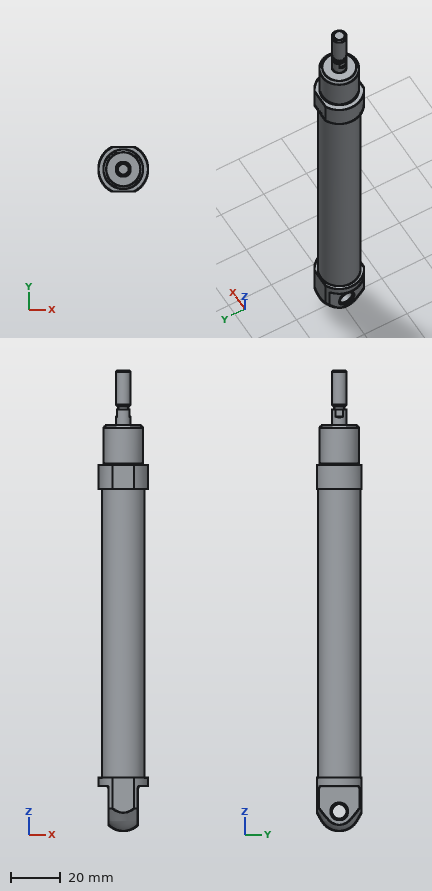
import cadquery as cq
import math

TOTAL_LENGTH = 186.0
TUBE_BOTTOM = 21.5
COLLAR_BOTTOM = 138.0
COLLAR_TOP = 147.9
NOSE_TOP = 163.9

TUBE_DIAMETER = 17.3
CAP_DIAMETER = 20.0
CAP_ACROSS_FLATS = 18.0
NOSE_DIAMETER = 16.0
NOSE_CHAMFER = 1.1
RELIEF_DIAMETER = 15.3
RELIEF_HEIGHT = 0.5

FLANGE_BOTTOM = 18.2
TANG_THICKNESS = 11.9
TANG_ROOT_FILLET = 1.0
TIP_RADIUS = 8.2
TIP_CONE_ANGLE = 60.0
PIVOT_HEIGHT = 8.0
PIVOT_DIAMETER = 6.0
PIVOT_MOUTH_DIAMETER = 7.0

ROD_DIAMETER = 6.0
ROD_TIP_CHAMFER = 0.7
THREAD_LENGTH = 14.7
THREAD_CHAMFER = 1.0
NECK_LENGTH = 1.1
FLAT_LENGTH = 2.8
ROD_ACROSS_FLATS = 5.2

NECK_DIAMETER = ROD_DIAMETER - 2 * THREAD_CHAMFER


def cylinder(diameter, bottom, top):
    return cq.Workplane("XY").workplane(offset=bottom).circle(diameter / 2).extrude(top - bottom)


def flatted_cylinder(bottom, top):
    """Round section of the cap diameter with two flats facing -Y and +Y."""
    flats = cq.Workplane("XY").workplane(offset=bottom).rect(CAP_DIAMETER, CAP_ACROSS_FLATS)
    return cylinder(CAP_DIAMETER, bottom, top).intersect(flats.extrude(top - bottom))


def tip_envelope():
    """Solid of revolution: rounded tip, tangent cone, then the full cap radius."""
    slope = math.radians(TIP_CONE_ANGLE)
    tangent_radius = TIP_RADIUS * math.sin(slope)
    tangent_height = TIP_RADIUS * (1 - math.cos(slope))
    mid_radius = TIP_RADIUS * math.sin(slope / 2)
    mid_height = TIP_RADIUS * (1 - math.cos(slope / 2))
    cap_radius = CAP_DIAMETER / 2
    cone_top = tangent_height + (cap_radius - tangent_radius) * math.tan(slope)
    return (
        cq.Workplane("XZ")
        .moveTo(0, 0)
        .threePointArc((mid_radius, mid_height), (tangent_radius, tangent_height))
        .lineTo(cap_radius, cone_top)
        .lineTo(cap_radius, TUBE_BOTTOM)
        .lineTo(0, TUBE_BOTTOM)
        .close()
        .revolve(360, (0, 0, 0), (0, 1, 0))
    )


def tang_side_cut(side):
    """Material removed beside the tang on one X side, with a rounded root below the flange."""
    block = cq.Workplane("XY").box(
        CAP_DIAMETER, 2 * CAP_DIAMETER, FLANGE_BOTTOM, centered=(False, True, False)
    )
    block = block.edges("|Y and <X and >Z").fillet(TANG_ROOT_FILLET)
    block = block.translate((TANG_THICKNESS / 2, 0, 0))
    return block if side > 0 else block.mirror("YZ")


def pivot_hole():
    """Cross hole along X, countersunk at 45 degrees on both tang faces."""
    half = TANG_THICKNESS / 2
    radius = PIVOT_DIAMETER / 2
    mouth_radius = PIVOT_MOUTH_DIAMETER / 2
    depth = mouth_radius - radius
    return (
        cq.Workplane("XY")
        .polyline([
            (-half, 0), (-half, mouth_radius), (depth - half, radius),
            (half - depth, radius), (half, mouth_radius), (half, 0),
        ])
        .close()
        .revolve(360, (0, 0, 0), (1, 0, 0))
        .translate((0, 0, PIVOT_HEIGHT))
    )


def make_rear_cap():
    cap = flatted_cylinder(0, TUBE_BOTTOM).intersect(tip_envelope())
    for side in (-1, 1):
        cap = cap.cut(tang_side_cut(side))
    return cap.cut(pivot_hole())


def make_housing():
    tube = cylinder(TUBE_DIAMETER, TUBE_BOTTOM, COLLAR_BOTTOM)
    collar = flatted_cylinder(COLLAR_BOTTOM, COLLAR_TOP)
    relief_top = COLLAR_TOP + RELIEF_HEIGHT
    relief = cylinder(RELIEF_DIAMETER, COLLAR_TOP, relief_top)
    nose = cylinder(NOSE_DIAMETER, relief_top, NOSE_TOP).faces(">Z").chamfer(NOSE_CHAMFER)
    return make_rear_cap().union(tube).union(collar).union(relief).union(nose)


def wrench_flat_cut(side, bottom, top):
    """Flat on one X side of the rod shank, open at the top with a 45 degree run-out below."""
    face = ROD_ACROSS_FLATS / 2
    outside = ROD_DIAMETER
    profile = [
        (side * face, top),
        (side * face, bottom),
        (side * outside, bottom - (outside - face)),
        (side * outside, top),
    ]
    return cq.Workplane("XZ").polyline(profile).close().extrude(ROD_DIAMETER, both=True)


def make_rod():
    """Rod standing on the nose face: shank with wrench flats, neck and threaded end."""
    thread_bottom = TOTAL_LENGTH - THREAD_LENGTH
    neck_bottom = thread_bottom - NECK_LENGTH
    thread = cylinder(ROD_DIAMETER, thread_bottom, TOTAL_LENGTH)
    thread = thread.faces(">Z").chamfer(ROD_TIP_CHAMFER)
    thread = thread.faces("<Z").chamfer(THREAD_CHAMFER)
    neck = cylinder(NECK_DIAMETER, neck_bottom, thread_bottom)
    shank = cylinder(ROD_DIAMETER, NOSE_TOP, neck_bottom)
    for side in (-1, 1):
        shank = shank.cut(wrench_flat_cut(side, neck_bottom - FLAT_LENGTH, neck_bottom))
    return shank.union(neck).union(thread)


housing = make_housing()
rod = make_rod()
result = cq.Compound.makeCompound([housing.val(), rod.val()])